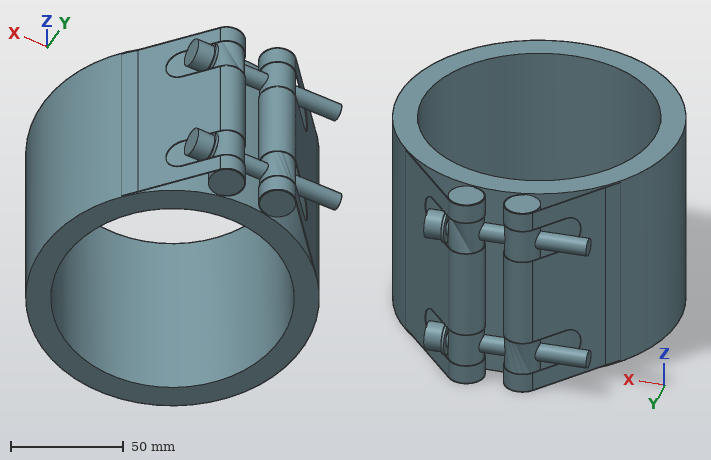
import cadquery as cq
import math

sleeve_diameter = 130.3
bore_diameter = 108.0
sleeve_height = 94.0
sleeve_radius = sleeve_diameter / 2

overall_depth = 145.7
strap_thickness = 0.5
strap_height = 92.5
pin_diameter = 16
pin_height = 93.1
pin_offset = 13.0
loop_radius = pin_diameter / 2 + strap_thickness
pin_y = overall_depth - sleeve_radius - loop_radius

slot_width = 16
slot_end_y = 64.3
slot_cut_depth = 1.7

bolt_spacing = 58.3
shank_diameter = 8.0
shank_start = -43.4
washer_diameter = 15.0
washer_start = 21.3
washer_thickness = 1.3
head_diameter = 13.0
head_end = 30.7

center_distance = math.hypot(pin_offset, pin_y)
tangent_angle = math.atan2(pin_y, pin_offset) - math.acos((sleeve_radius - loop_radius) / center_distance)
normal_x = math.cos(tangent_angle)
normal_y = math.sin(tangent_angle)


def upright_cylinder(diameter, height, x=0, y=0):
    return cq.Workplane("XY", origin=(x, y, -height / 2)).circle(diameter / 2).extrude(height)


def bolt_cylinder(diameter, x_start, x_end, z):
    return (
        cq.Workplane("YZ", origin=(x_start, pin_y, z))
        .circle(diameter / 2)
        .extrude(x_end - x_start)
    )


def loop_point(radius, angle):
    return (pin_offset + radius * math.cos(angle), pin_y + radius * math.sin(angle))


def strap_half():
    """Right half of the strap: straight from the sleeve, then over the pin and back down to the sleeve."""
    pin_radius = pin_diameter / 2
    loop_end_angle = math.atan2(pin_y, pin_offset) + math.pi
    loop_mid_angle = (tangent_angle + loop_end_angle) / 2
    inner_radius = sleeve_radius - strap_thickness
    return (
        cq.Workplane("XY", origin=(0, 0, -strap_height / 2))
        .moveTo(sleeve_radius * normal_x, sleeve_radius * normal_y)
        .lineTo(*loop_point(loop_radius, tangent_angle))
        .threePointArc(loop_point(loop_radius, loop_mid_angle), loop_point(loop_radius, loop_end_angle))
        .lineTo(*loop_point(pin_radius, loop_end_angle))
        .threePointArc(loop_point(pin_radius, loop_mid_angle), loop_point(pin_radius, tangent_angle))
        .lineTo(inner_radius * normal_x, inner_radius * normal_y)
        .close()
        .extrude(strap_height)
    )


def slot_cutter(z):
    """Round-ended slot cut square to the straight run, continuing around the whole loop."""
    run_offset = (sleeve_radius - slot_end_y * normal_y) / normal_x
    slot_plane = cq.Plane(
        origin=(run_offset, slot_end_y, z),
        xDir=(-normal_y, normal_x, 0),
        normal=(normal_x, normal_y, 0),
    )
    loop_distance = (pin_offset - run_offset) * -normal_y + (pin_y - slot_end_y) * normal_x
    run_slot = (
        cq.Workplane(slot_plane)
        .circle(slot_width / 2)
        .extrude(slot_cut_depth / 2, both=True)
        .union(
            cq.Workplane(slot_plane)
            .center(loop_distance / 2, 0)
            .rect(loop_distance, slot_width)
            .extrude(slot_cut_depth / 2, both=True)
        )
    )
    loop_slot = upright_cylinder(2 * loop_radius + slot_cut_depth, slot_width, pin_offset, pin_y)
    return run_slot.union(loop_slot.translate((0, 0, z)))


bolt_heights = (-bolt_spacing / 2, bolt_spacing / 2)

strap = strap_half()
for bolt_z in bolt_heights:
    strap = strap.cut(slot_cutter(bolt_z))
right_side = strap.union(upright_cylinder(pin_diameter, pin_height, pin_offset, pin_y))
left_side = right_side.mirror("YZ")

result = upright_cylinder(sleeve_diameter, sleeve_height).union(right_side).union(left_side)

washer_end = washer_start + washer_thickness
for bolt_z in bolt_heights:
    result = result.union(bolt_cylinder(shank_diameter, shank_start, washer_end, bolt_z))
    result = result.union(bolt_cylinder(washer_diameter, washer_start, washer_end, bolt_z))
    result = result.union(bolt_cylinder(head_diameter, washer_end, head_end, bolt_z))

result = result.cut(upright_cylinder(bore_diameter, sleeve_height))